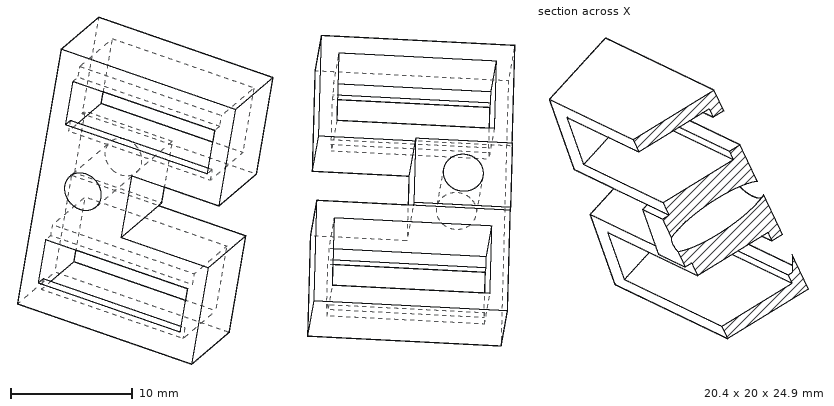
import cadquery as cq

body_length = 15.99
body_depth = 7.5
arm_height = 9.01
arm_gap = 5.75

web_length = body_length / 2
web_rise = 0.6
hole_diameter = 3.3

wall = 1.5
lip_thickness = 1
lip_reach = 1
pocket_length = body_length - 2 * wall
pocket_height = arm_height - 2 * wall
window_height = pocket_height - 2 * lip_reach

tilt_angle = -20.2
turn_angle = 21.1

arm_offset = (arm_height + arm_gap) / 2


def block(start_x, length, start_y, depth, middle_z, height):
    """Box starting at the given X and Y, centred on the given Z."""
    box = cq.Workplane("XY").box(length, depth, height, centered=(False, False, True))
    return box.translate((start_x, start_y, middle_z))


def arm(middle_z):
    """Hollow arm with a tall pocket at the back and a lower window at the front."""
    solid = block(0, body_length, 0, body_depth, middle_z, arm_height)
    window = block(wall, pocket_length, 0, body_depth, middle_z, window_height)
    pocket = block(wall, pocket_length, lip_thickness, body_depth - lip_thickness, middle_z, pocket_height)
    return solid.cut(window).cut(pocket)


def web():
    """Solid web with a round hole from front to back."""
    web_depth = body_depth + web_rise
    solid = block(0, web_length, 0, web_depth, 0, arm_gap)
    hole = cq.Workplane("XZ").center(web_length / 2, 0).circle(hole_diameter / 2).extrude(-web_depth)
    return solid.cut(hole)


body = web()
for middle_z in (-arm_offset, arm_offset):
    body = body.union(arm(middle_z))
body = body.clean()

body = body.rotate((0, 0, 0), (1, 0, 0), tilt_angle)
result = body.rotate((0, 0, 0), (0, 0, 1), turn_angle)